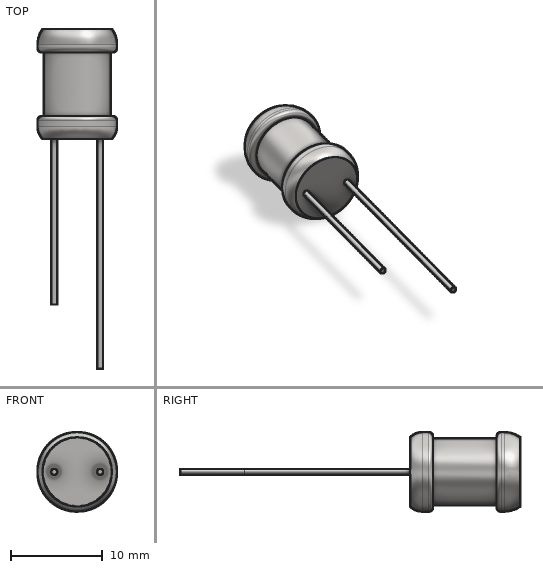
import cadquery as cq
import math

TOTAL_LENGTH = 37.0
BODY_LENGTH = 12.0
BARREL_RADIUS = 3.65
CAP_RADIUS = 4.348
END_FACE_RADIUS = 3.77

FRONT_CROWN_DEPTH = 1.37
FRONT_LAND_WIDTH = 0.63
FRONT_RIM_RADIUS = 0.5
BACK_CROWN_DEPTH = 1.7
BACK_LAND_WIDTH = 0.37
BACK_RIM_RADIUS = 0.5

LEAD_DIAMETER = 0.65
LEAD_SPACING = 5.0
LONG_LEAD_LENGTH = TOTAL_LENGTH - BODY_LENGTH
LEAD_LENGTH_DIFFERENCE = 7.0
SHORT_LEAD_LENGTH = LONG_LEAD_LENGTH - LEAD_LENGTH_DIFFERENCE


def crown_midpoint(crown_depth, end_y, inward):
    """Return a point on the crown arc, halfway along its depth."""
    rise = CAP_RADIUS - END_FACE_RADIUS
    arc_radius = (crown_depth**2 + rise**2) / (2 * rise)
    half_depth = crown_depth / 2
    drop = arc_radius - math.sqrt(arc_radius**2 - half_depth**2)
    return (CAP_RADIUS - drop, end_y + inward * half_depth)


def make_cap(crown_depth, land_width, rim_radius, end_y, inward):
    """Revolve one cap about Y; inward is +1 or -1, the direction from its end face to the barrel."""
    crown_y = end_y + inward * crown_depth
    land_y = crown_y + inward * land_width
    rim_y = land_y + inward * rim_radius
    profile = (
        cq.Workplane("XY")
        .moveTo(0, end_y)
        .lineTo(END_FACE_RADIUS, end_y)
        .threePointArc(crown_midpoint(crown_depth, end_y, inward), (CAP_RADIUS, crown_y))
        .lineTo(CAP_RADIUS, land_y)
        .radiusArc((CAP_RADIUS - rim_radius, rim_y), -inward * rim_radius)
        .lineTo(0, rim_y)
        .close()
    )
    return profile.revolve(360, (0, 0, 0), (0, 1, 0))


def make_lead(center_x, length):
    """Make a round lead running from the front end face towards -Y."""
    return cq.Workplane("XZ").center(center_x, 0).circle(LEAD_DIAMETER / 2).extrude(length)


front_cap = make_cap(FRONT_CROWN_DEPTH, FRONT_LAND_WIDTH, FRONT_RIM_RADIUS, 0, 1)
back_cap = make_cap(BACK_CROWN_DEPTH, BACK_LAND_WIDTH, BACK_RIM_RADIUS, BODY_LENGTH, -1)

front_cap_length = FRONT_CROWN_DEPTH + FRONT_LAND_WIDTH + FRONT_RIM_RADIUS
back_cap_length = BACK_CROWN_DEPTH + BACK_LAND_WIDTH + BACK_RIM_RADIUS
barrel_length = BODY_LENGTH - front_cap_length - back_cap_length
barrel = (
    cq.Workplane("XZ", origin=(0, front_cap_length, 0))
    .circle(BARREL_RADIUS)
    .extrude(-barrel_length)
)

short_lead = make_lead(-LEAD_SPACING / 2, SHORT_LEAD_LENGTH)
long_lead = make_lead(LEAD_SPACING / 2, LONG_LEAD_LENGTH)

result = front_cap.union(barrel).union(back_cap).union(short_lead).union(long_lead)